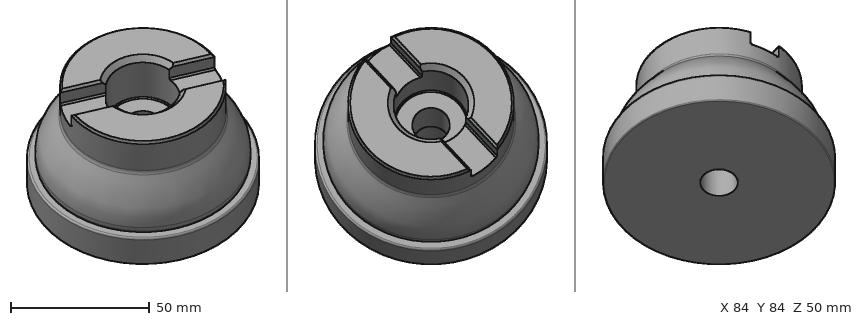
import cadquery as cq
import math

ring_radius = 42.0
ring_height = 13.3
ring_top_fillet = 0.75
ring_bottom_fillet = 0.4

total_height = 50.0
dome_radius = 78.0 / 2
foot_bevel_width = 0.2
foot_bevel_height = 0.9
dome_arc_start = 15.9
dome_arc_radius = 20.0
cone_angle = math.radians(35)
neck_radius = 60.0 / 2
neck_fillet = 2.9
neck_bevel_width = 0.8
neck_bevel_height = 0.8
neck_bevel_step_width = 0.3
neck_bevel_step_height = 0.25

through_radius = 13.5 / 2
bore_radius = 27.05 / 2
bore_depth = 20.0
bore_mouth_chamfer = 2.1
bore_floor_chamfer = 0.5

slot_half_width = 6.2
slot_depth = 6.9
slot_mouth_chamfer = 0.9
slot_floor_chamfer = 0.7


def make_ring():
    """Flat disc with rounded rims and the central through hole."""
    disc = cq.Workplane("XY").circle(ring_radius).extrude(ring_height)
    disc = disc.faces(">Z").edges().fillet(ring_top_fillet)
    disc = disc.faces("<Z").edges().fillet(ring_bottom_fillet)
    return disc.cut(cq.Workplane("XY").circle(through_radius).extrude(ring_height))


def hub_blank():
    """Revolved foot, dome, cone and neck, without any holes.

    One smooth curve runs up the dome and along the cone.
    """
    def dome_point(angle):
        return (
            dome_radius - dome_arc_radius * (1 - math.cos(angle)),
            dome_arc_start + dome_arc_radius * math.sin(angle),
        )

    cone_start = dome_point(cone_angle)
    corner_z = cone_start[1] + (cone_start[0] - neck_radius) / math.tan(cone_angle)
    tangent_length = neck_fillet * math.tan(cone_angle / 2)
    fillet_center = (neck_radius + neck_fillet, corner_z + tangent_length)

    def fillet_point(angle):
        return (
            fillet_center[0] - neck_fillet * math.cos(angle),
            fillet_center[1] - neck_fillet * math.sin(angle),
        )

    bevel_inner_radius = neck_radius - neck_bevel_width

    return (
        cq.Workplane("XZ")
        .moveTo(0, ring_height)
        .lineTo(dome_radius - foot_bevel_width, ring_height)
        .lineTo(dome_radius, ring_height + foot_bevel_height)
        .lineTo(dome_radius, dome_arc_start)
        .spline(
            [dome_point(cone_angle / 2), cone_start, fillet_point(cone_angle)],
            tangents=[(0, 1), (-math.sin(cone_angle), math.cos(cone_angle))],
            includeCurrent=True,
        )
        .threePointArc(fillet_point(cone_angle / 2), fillet_point(0))
        .lineTo(neck_radius, total_height - neck_bevel_height)
        .lineTo(bevel_inner_radius + neck_bevel_step_width, total_height - neck_bevel_step_height)
        .lineTo(bevel_inner_radius, total_height)
        .lineTo(0, total_height)
        .close()
        .revolve(360, (0, 0, 0), (0, 1, 0))
    )


def hub_bore():
    """Stepped hole: a chamfered blind bore above the through hole."""
    floor_z = total_height - bore_depth
    return (
        cq.Workplane("XZ")
        .moveTo(0, ring_height)
        .lineTo(through_radius, ring_height)
        .lineTo(through_radius, floor_z)
        .lineTo(bore_radius - bore_floor_chamfer, floor_z)
        .lineTo(bore_radius, floor_z + bore_floor_chamfer)
        .lineTo(bore_radius, total_height - bore_mouth_chamfer)
        .lineTo(bore_radius + bore_mouth_chamfer, total_height)
        .lineTo(0, total_height)
        .close()
        .revolve(360, (0, 0, 0), (0, 1, 0))
    )


def cross_slot():
    """Slot across the whole neck, beveled at its mouth and floor."""
    floor_z = total_height - slot_depth
    right_side = [
        (slot_half_width - slot_floor_chamfer, floor_z),
        (slot_half_width, floor_z + slot_floor_chamfer),
        (slot_half_width, total_height - slot_mouth_chamfer),
        (slot_half_width + slot_mouth_chamfer, total_height),
    ]
    left_side = [(-x, z) for x, z in reversed(right_side)]
    outline = cq.Workplane("XZ").polyline(right_side + left_side).close()
    return outline.extrude(neck_radius, both=True)


ring = make_ring()
hub = hub_blank().cut(hub_bore()).cut(cross_slot())

result = cq.Compound.makeCompound([ring.val(), hub.val()])